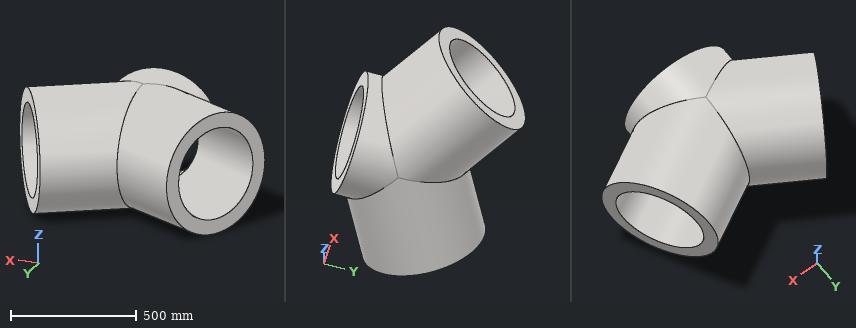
import math

import cadquery as cq

OUTER_DIAMETER = 508.0
BORE_DIAMETER = 382.57

INLET_LENGTH = 203.2
BRANCH_LENGTH = 457.2

ARM_SPACING = 120.0
INLET_ANGLE = -90.0
RIGHT_BRANCH_ANGLE = INLET_ANGLE + ARM_SPACING
LEFT_BRANCH_ANGLE = INLET_ANGLE - ARM_SPACING

ARMS = [
    (INLET_ANGLE, INLET_LENGTH),
    (RIGHT_BRANCH_ANGLE, BRANCH_LENGTH),
    (LEFT_BRANCH_ANGLE, BRANCH_LENGTH),
]


def mitred_arm(diameter, angle, length):
    """Cylinder along one arm, mitred at the junction to its share of the full turn."""
    radius = diameter / 2
    mitre_reach = radius / math.tan(math.radians(ARM_SPACING / 2))
    outline = [
        (0, 0),
        (mitre_reach, radius),
        (length, radius),
        (length, -radius),
        (mitre_reach, -radius),
    ]
    cylinder = cq.Workplane("YZ").circle(radius).extrude(length)
    mitred_block = cq.Workplane("XY").polyline(outline).close().extrude(radius, both=True)
    return cylinder.intersect(mitred_block).rotate((0, 0, 0), (0, 0, 1), angle)


def three_arms(diameter):
    """Union of the three arms, which meet in mitred seams."""
    body = cq.Workplane("XY")
    for angle, length in ARMS:
        body = body.union(mitred_arm(diameter, angle, length))
    return body


result = three_arms(OUTER_DIAMETER).cut(three_arms(BORE_DIAMETER))